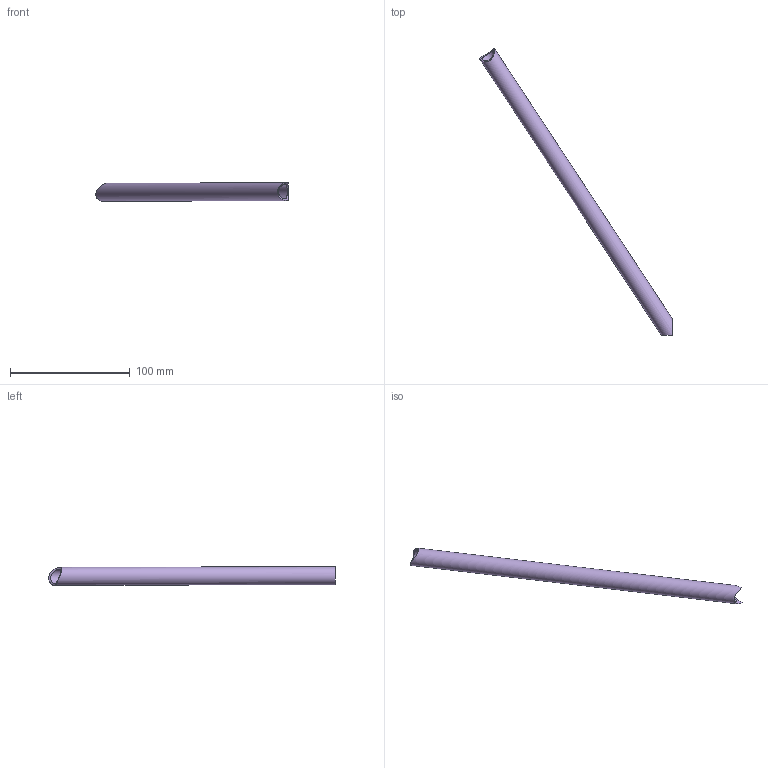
import cadquery as cq
import math

outer_diameter = 15.0
wall = 1.5

joint_x = -160.32
joint_y = 243.63
joint_z = -0.55

post_diameter = 25.0
post_lean_x = 0.087
post_lean_y = -0.416

axis_length = math.hypot(joint_x, joint_y, joint_z)
axis = cq.Vector(joint_x, joint_y, joint_z) / axis_length

cutter_reach = 2 * post_diameter


def rod(diameter, start, direction, length):
    """Solid cylinder from a start point along a direction."""
    return cq.Workplane(cq.Solid.makeCylinder(diameter / 2, length, start, direction))


def cutter(diameter, centre, direction):
    """Cylinder that reaches equally far both ways from a centre point."""
    return rod(diameter, centre - direction * cutter_reach, direction, 2 * cutter_reach)


def make_tube():
    """Hollow tube with square ends, from the origin to the joint."""
    origin = cq.Vector(0, 0, 0)
    outside = rod(outer_diameter, origin, axis, axis_length)
    bore = rod(outer_diameter - 2 * wall, origin, axis, axis_length)
    return outside.cut(bore)


def mirrored_tube():
    """Equal tube mirrored in the YZ plane, which mitres the end at the origin."""
    mirrored_axis = cq.Vector(-axis.x, axis.y, axis.z)
    return cutter(outer_diameter, cq.Vector(0, 0, 0), mirrored_axis)


def leaning_post():
    """Leaning post that copes the end at the joint."""
    post_direction = cq.Vector(post_lean_x, post_lean_y, 1).normalized()
    return cutter(post_diameter, axis * axis_length, post_direction)


result = make_tube().cut(mirrored_tube()).cut(leaning_post())